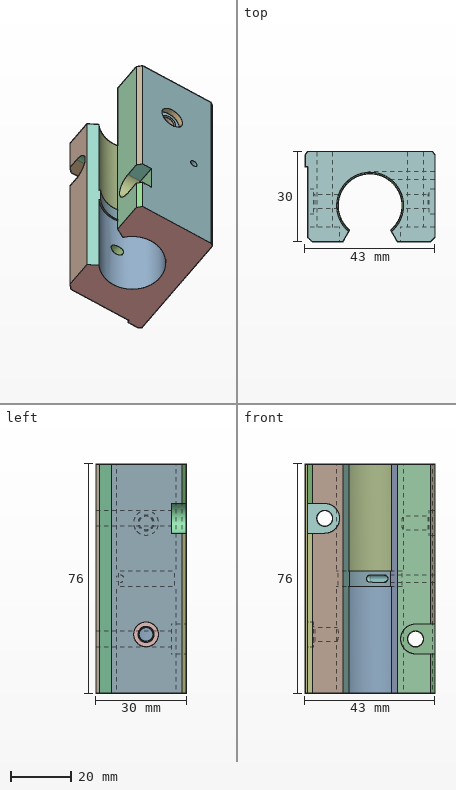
import cadquery as cq
import math

width = 43.0
depth = 30.0
height = 76.0
bore_to_back = 18.0
back_y = bore_to_back
front_y = bore_to_back - depth
side_x = width / 2

lip_height = 0.8
lip_depth = 5.2
relieved_x = -side_x + lip_height

back_chamfer_x = 0.75
back_chamfer_y = 1.15
front_chamfer = 1.5

bore_radius = 11.1
band_radius = 10.6
band_height = 5.25
mouth_half_width = 9.05
flank_angle = 30.0

mount_x = 15.05
mount_z = 20.0
mount_hole_radius = 2.6
seat_radius = 4.95
seat_depth = 5.0

screw_y = 1.4
screw_z = 18.5
screw_recess_radius = 4.1
screw_recess_depth = 2.0
screw_hole_radius = 2.3
screw_chamfer = 0.4

oil_radius = 1.3
oil_y = 10.0


def block():
    outline = [
        (-side_x, back_y - back_chamfer_y),
        (-side_x + back_chamfer_x, back_y),
        (side_x - back_chamfer_x, back_y),
        (side_x, back_y - back_chamfer_y),
        (side_x, front_y + front_chamfer),
        (side_x - front_chamfer, front_y),
        (relieved_x + front_chamfer, front_y),
        (relieved_x, front_y + front_chamfer),
        (relieved_x, back_y - lip_depth),
        (-side_x, back_y - lip_depth),
    ]
    return cq.Workplane("XY").polyline(outline).close().extrude(height / 2, both=True)


def open_bore():
    bore = cq.Workplane("XY").circle(bore_radius).extrude(height / 2, both=True)
    band = (
        cq.Workplane("XY")
        .circle(bore_radius)
        .circle(band_radius)
        .extrude(band_height / 2, both=True)
    )
    apex_y = front_y + mouth_half_width / math.tan(math.radians(flank_angle))
    mouth = (
        cq.Workplane("XY")
        .polyline([(-mouth_half_width, front_y), (mouth_half_width, front_y), (0, apex_y)])
        .close()
        .extrude(height / 2, both=True)
    )
    return bore.cut(band).union(mouth)


def mounting_cut(side):
    """Through hole and seat; side is +1 for +X (lower) or -1 for -X (upper)."""
    x = side * mount_x
    z = -side * mount_z
    front = cq.Workplane("XZ", origin=(x, front_y, z))
    hole = front.circle(mount_hole_radius).extrude(-depth)
    seat = front.circle(seat_radius).extrude(-seat_depth)
    slot_length = side_x - mount_x
    slot = front.center(side * slot_length / 2, 0).rect(slot_length, 2 * seat_radius).extrude(-seat_depth)
    return hole.union(seat).union(slot)


def screw_cut(side):
    """Counterbored hole from one side face to the bore."""
    face_x = side_x if side > 0 else relieved_x
    floor_x = face_x - side * screw_recess_depth
    entry_radius = screw_hole_radius + screw_chamfer
    profile = [
        (face_x, 0),
        (face_x, screw_recess_radius),
        (floor_x, screw_recess_radius),
        (floor_x, entry_radius),
        (floor_x - side * screw_chamfer, screw_hole_radius),
        (0, screw_hole_radius),
        (0, 0),
    ]
    return (
        cq.Workplane("XY", origin=(0, screw_y, side * screw_z))
        .polyline(profile)
        .close()
        .revolve(360, (0, 0, 0), (1, 0, 0))
    )


def oil_drilling():
    """Drilling from the +X face with a round end centred on X = 0."""
    tip_mid = oil_radius * math.sqrt(0.5)
    return (
        cq.Workplane("XY", origin=(0, oil_y, 0))
        .moveTo(-oil_radius, 0)
        .threePointArc((-tip_mid, tip_mid), (0, oil_radius))
        .lineTo(side_x, oil_radius)
        .lineTo(side_x, 0)
        .close()
        .revolve(360, (0, 0, 0), (1, 0, 0))
    )


result = block().cut(open_bore()).cut(oil_drilling())
for side in (-1, 1):
    result = result.cut(mounting_cut(side)).cut(screw_cut(side))